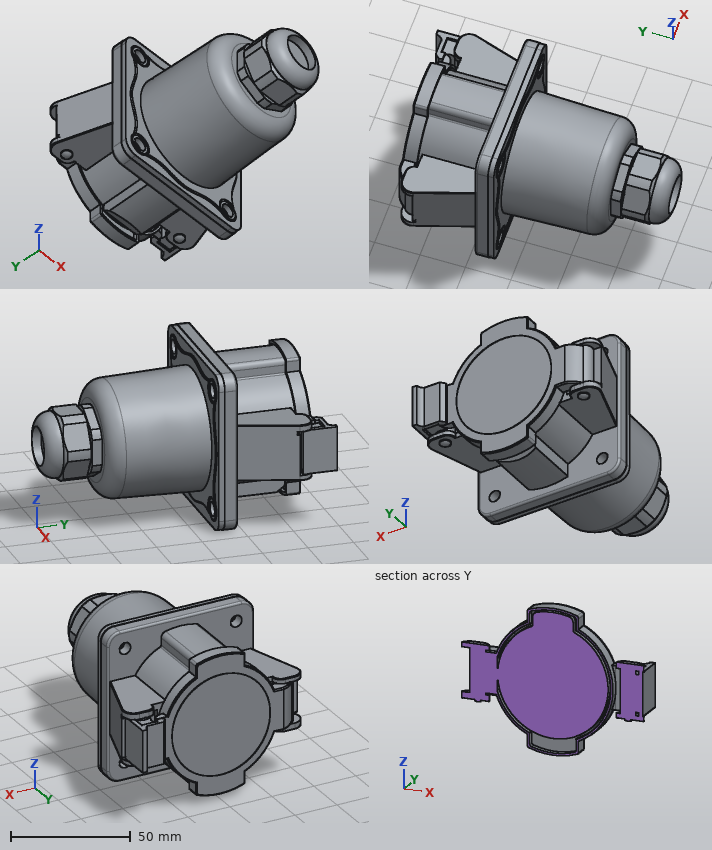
import cadquery as cq
import math


flange_size = 70.0
flange_corner = 6.0
flange_thickness = 5.75
flange_edge_round = 1.0
screw_offset = 26.5
socket_screw_dia = 5.3

boot_flange_inset = 0.2
boot_flange_thickness = 2.55
boot_screw_dia = 6.2
boot_flange_end = -flange_thickness - boot_flange_thickness

pad_height = 0.5
pad_bevel = 0.6
pad_bevel_depth = 0.45
wave_mean = 30.65
wave_amplitude = 1.5
wave_half_period = 16.1
wave_end = 22.6
wave_points = 17
boss_radius = 5.2
boss_top_radius = 4.5
boss_height = 0.25

boot_root_radius = 26.6
boot_tip_radius = 25.5
boot_round = 7.1
boot_end = -53.1
boot_flat_radius = 17.9

hex_flats = 29.0
hex_corner_dia = 31.2
body_hex_length = 4.3
neck_dia = 25.7
neck_length = 0.7
nut_end = -69.7
dome_radius = 14.2
gland_end = -76.5
gland_hole_dia = 16.69
gland_hole_depth = 4.0
nut_bevel_height = 1.3
nut_bevel_radius = 1.5

barrel_radius = 25.2
barrel_lobe_radius = 30.8
barrel_lobe_half_width = 9.3
barrel_lobe_round = 2.7
barrel_lobe_root = 0.8
key_lobe_radius = 31.0
key_lobe_half_width = 9.6
key_bevel_length = 5.4
key_bevel_height = 4.2

lid_bottom = 28.7
lid_top = 35.0
lid_radius = 27.4
lid_lobe_radius = 32.6
lid_lobe_half_width = 11.7
lid_lobe_round = 1.2
lid_edge_bevel = 0.5
lid_wall = 1.2
lid_recess_depth = 2.0
badge_radius = 23.4
badge_height = 0.2

bracket_height = 24.9
bracket_shift = 0.33
bracket_half_span = 41.995
bracket_root = 33.8
bracket_top = 31.5
bracket_slope = 17.7
ear_inner_round = 3.9
bracket_shoulder = 27.4
bracket_shoulder_x = 28.6
bracket_edge_bevel = 0.35
ear_slot_floor = 25.2
ear_notch_width = 1.4
ear_notch_depth = 1.1

pivot_x = 34.1
pivot_y = 26.7
pin_head_dia = 5.0
pin_head_height = 1.4
pin_head_rim = 0.5
knuckle_radius = 4.2
arm_width = 19.6
arm_slope_start = 30.0
arm_edge_bevel = 0.6
arm_slope_foot_angle = 120.0
arm_slope_bend = (-33.2, 33.5)
hook_tip = 30.7
hook_bend = (29.9, 33.0)
hook_underside = 31.6
hook_root = 27.0

latch_outer = 41.0
latch_plate = 2.2
overall_length = 118.21
latch_top = overall_length + gland_end
latch_bar_top = 38.7
latch_bar_bottom = 36.8
latch_bar_left = 29.4
latch_nose = 27.65
latch_nose_height = 36.8
latch_nose_foot = (27.75, 35.9)
latch_lip_left = 27.95
latch_tail = 37.1
latch_tail_bend = (38.2, 39.8)
latch_lip = 35.2
latch_web_left = 31.2
latch_web_waist = (31.8, 33.8)
latch_web_bottom = 31.0
latch_web_width = 17.0

screw_points = [(sx * screw_offset, sz * screw_offset) for sx in (-1, 1) for sz in (-1, 1)]


def section(y):
    """Sketch plane across the axis at y; positive extrusion runs toward -Y."""
    return cq.Workplane("XZ", origin=(0, y, 0))


def plan(z_center, height):
    """Sketch plane in X and Y, for shapes extruded by height about z_center."""
    return cq.Workplane("XY", origin=(0, 0, z_center - height / 2))


def square_flange(y_front, size, corner, thickness):
    return section(y_front).rect(size, size).extrude(thickness).edges("|Y").fillet(corner)


def lobe(y_front, length, radius, half_width, corner_round, direction):
    """Arc-topped block on the axis, upward (direction 1) or downward (-1); a zero round stays sharp."""
    height = math.sqrt(radius**2 - half_width**2)
    block = (
        section(y_front)
        .moveTo(-half_width, 0)
        .lineTo(-half_width, direction * height)
        .threePointArc((0, direction * radius), (half_width, direction * height))
        .lineTo(half_width, 0)
        .close()
        .extrude(length)
    )
    if corner_round == 0:
        return block
    base, tip = sorted((direction * height / 2, direction * radius))
    upper_corners = cq.selectors.BoxSelector(
        (-radius, y_front - length, base), (radius, y_front, tip))
    return block.faces("|X").edges("|Y").edges(upper_corners).fillet(corner_round)


def make_socket_flange():
    flange = square_flange(0, flange_size, flange_corner, flange_thickness)
    flange = flange.faces(">Y").edges().fillet(flange_edge_round)
    holes = section(0).pushPoints(screw_points).circle(socket_screw_dia / 2).extrude(flange_thickness)
    return flange.cut(holes)


def make_barrel():
    length = lid_top - lid_edge_bevel
    barrel = section(length).circle(barrel_radius).extrude(length)
    upper = lobe(length, length, barrel_lobe_radius, barrel_lobe_half_width, barrel_lobe_round, 1)
    barrel = barrel.union(upper)
    root_z = math.sqrt(barrel_radius**2 - barrel_lobe_half_width**2)
    for side in (-1, 1):
        root = (side * barrel_lobe_half_width, length / 2, root_z)
        barrel = barrel.edges(cq.selectors.NearestToPointSelector(root)).fillet(barrel_lobe_root)

    key = lobe(lid_bottom, lid_bottom, key_lobe_radius, key_lobe_half_width, 0, -1)
    key_bevel = (
        cq.Workplane("YZ")
        .moveTo(lid_bottom, -key_lobe_radius)
        .lineTo(lid_bottom - key_bevel_length, -key_lobe_radius)
        .lineTo(lid_bottom, key_bevel_height - key_lobe_radius)
        .close()
        .extrude(key_lobe_half_width, both=True)
    )
    return barrel.union(key.cut(key_bevel))


def lid_block(y_front, length, inset):
    """Round lid outline with an upper and a lower lobe, shrunk by inset."""
    block = section(y_front).circle(lid_radius - inset).extrude(length)
    for direction in (1, -1):
        block = block.union(lobe(y_front, length, lid_lobe_radius - inset,
                                 lid_lobe_half_width - inset, lid_lobe_round, direction))
    return block


def make_lid():
    lid = lid_block(lid_top, lid_top - lid_bottom, 0)
    lid = lid.faces(">Y").edges().chamfer(lid_edge_bevel)
    lid = lid.cut(lid_block(lid_bottom + lid_recess_depth, lid_recess_depth, lid_wall))
    badge = section(lid_top + badge_height).circle(badge_radius).extrude(2 * badge_height)
    return lid.union(badge)


def make_bracket(side):
    """Wedge-shaped hinge bracket; side is -1 for the left one and 1 for the right one."""
    z_center = side * bracket_shift
    slope = math.radians(bracket_slope)
    bracket = (
        plan(z_center, bracket_height)
        .moveTo(side * barrel_radius / 2, 0)
        .lineTo(side * bracket_root, 0)
        .lineTo(side * (bracket_root + bracket_top * math.tan(slope)), bracket_top)
        .lineTo(side * bracket_shoulder_x, bracket_top)
        .lineTo(side * bracket_shoulder_x, bracket_shoulder)
        .lineTo(side * barrel_radius / 2, bracket_shoulder)
        .close()
        .extrude(bracket_height)
    )
    outer = ">X" if side > 0 else "<X"
    reach = bracket_half_span - bracket_root
    outer_round = (bracket_top * math.sin(slope) - reach * math.cos(slope)) / (
        1 + math.sin(slope) - math.cos(slope))
    bracket = bracket.edges("|Z").edges(outer).fillet(outer_round)
    bracket = bracket.edges("|Z").edges(cq.selectors.NearestToPointSelector(
        (side * bracket_shoulder_x, bracket_top, z_center))).fillet(ear_inner_round)
    low_x, high_x = sorted((side * bracket_shoulder_x, side * flange_size))
    rim = bracket.faces("|Z").edges(cq.selectors.BoxSelector(
        (low_x, bracket_edge_bevel, -bracket_height), (high_x, lid_top, bracket_height)))
    bracket = rim.chamfer(bracket_edge_bevel)
    slot_end = lid_radius - lid_wall
    slot = cq.Workplane("XY").box(flange_size, lid_top, arm_width, centered=(True, False, True))
    slot = slot.translate((side * (slot_end + flange_size / 2), ear_slot_floor, 0))
    notch = cq.Workplane("XY").box(flange_size, lid_top, ear_notch_width, centered=(True, False, True))
    notch = notch.translate((
        side * (bracket_root + flange_size / 2),
        ear_slot_floor - ear_notch_depth,
        side * (arm_width - ear_notch_width) / 2))
    return bracket.cut(slot).cut(notch)


def make_pin_head(side):
    """Domed head of the hinge pin below its bracket."""
    z_face = side * bracket_shift - bracket_height / 2
    head_radius = pin_head_dia / 2
    cap_height = pin_head_height - pin_head_rim
    cap_radius = (head_radius**2 + cap_height**2) / (2 * cap_height)
    cap_middle = math.asin(head_radius / cap_radius) / 2
    return (
        cq.Workplane("XZ", origin=(side * pivot_x, pivot_y, z_face))
        .lineTo(head_radius, 0)
        .lineTo(head_radius, -pin_head_rim)
        .threePointArc(
            (cap_radius * math.sin(cap_middle),
             cap_radius * (1 - math.cos(cap_middle)) - pin_head_height),
            (0, -pin_head_height))
        .close()
        .revolve(360, (0, 0), (0, 1))
    )


def make_knuckle(side):
    return plan(0, arm_width).center(side * pivot_x, pivot_y).circle(knuckle_radius).extrude(arm_width)


def make_hinge_arm():
    slope_foot = math.radians(arm_slope_foot_angle)
    arm = (
        plan(0, arm_width)
        .moveTo(-barrel_radius, lid_top)
        .lineTo(-arm_slope_start, lid_top)
        .threePointArc(arm_slope_bend, (
            -pivot_x + knuckle_radius * math.cos(slope_foot),
            pivot_y + knuckle_radius * math.sin(slope_foot)))
        .lineTo(-pivot_x, lid_bottom)
        .lineTo(-barrel_radius, lid_bottom)
        .close()
        .extrude(arm_width)
    )
    arm = arm.union(make_knuckle(-1))
    rim = arm.faces("|Z").edges(cq.selectors.BoxSelector(
        (-flange_size, pivot_y, -arm_width), (-lid_radius, lid_top + arm_edge_bevel, arm_width)))
    return rim.chamfer(arm_edge_bevel)


def make_hook():
    """Lip on the lid that the latch nose catches."""
    return (
        plan(0, arm_width)
        .moveTo(barrel_radius, lid_top)
        .lineTo(hook_tip, lid_top)
        .threePointArc(hook_bend, (hook_root, hook_underside))
        .lineTo(barrel_radius, hook_underside)
        .close()
        .extrude(arm_width)
    )


def make_latch():
    inner = latch_outer - latch_plate
    shell = (
        plan(0, arm_width)
        .moveTo(latch_outer, pivot_y)
        .lineTo(latch_outer, latch_top)
        .lineTo(inner, latch_top)
        .threePointArc(latch_tail_bend, (latch_tail, latch_bar_top))
        .lineTo(latch_bar_left, latch_bar_top)
        .lineTo(latch_nose, latch_nose_height)
        .lineTo(*latch_nose_foot)
        .lineTo(latch_lip_left, latch_lip)
        .lineTo(latch_web_left, latch_lip)
        .lineTo(latch_web_left, latch_bar_bottom)
        .lineTo(inner, latch_bar_bottom)
        .lineTo(inner, pivot_y)
        .close()
        .extrude(arm_width)
    )
    web = (
        plan(0, latch_web_width)
        .moveTo(latch_web_left, latch_bar_bottom)
        .lineTo(latch_web_left, latch_lip)
        .threePointArc(latch_web_waist, (latch_web_left, latch_web_bottom))
        .lineTo(latch_web_left, pivot_y)
        .lineTo(inner, pivot_y)
        .lineTo(inner, latch_bar_bottom)
        .close()
        .extrude(latch_web_width)
    )
    return shell.union(web).union(make_knuckle(1))


def make_socket():
    socket = make_socket_flange().union(make_barrel())
    for side in (-1, 1):
        socket = socket.union(make_bracket(side)).union(make_pin_head(side))
    for fitting in (make_lid(), make_hinge_arm(), make_hook(), make_latch()):
        socket = socket.union(fitting)
    return socket


def wave_side(quarter_turns):
    """Points of one wavy pad side, the upper one turned clockwise by quarter turns."""
    angle = -quarter_turns * math.pi / 2
    points = []
    for i in range(wave_points):
        u = wave_end * (2 * i / (wave_points - 1) - 1)
        v = wave_mean + wave_amplitude * math.cos(math.pi * u / wave_half_period)
        points.append((u * math.cos(angle) - v * math.sin(angle),
                       u * math.sin(angle) + v * math.cos(angle)))
    return points


def make_pad():
    outline = section(boot_flange_end).moveTo(*wave_side(0)[0])
    for turn in range(4):
        side = wave_side(turn)
        outline = outline.lineTo(*side[0]) if turn else outline
        outline = outline.spline(side[1:], includeCurrent=True)
    pad = outline.close().extrude(pad_height)
    return pad.faces("<Y").edges().chamfer(pad_bevel_depth, pad_bevel)


def boss_cone(root_radius, tip_radius, y_root, height):
    cone = cq.Solid.makeCone(root_radius, tip_radius, height, cq.Vector(0, y_root, 0), cq.Vector(0, -1, 0))
    return [cone.moved(cq.Location(cq.Vector(x, 0, z))) for x, z in screw_points]


def make_boot():
    size = flange_size - 2 * boot_flange_inset
    boot = square_flange(-flange_thickness, size, flange_corner - boot_flange_inset, boot_flange_thickness)
    boot = boot.union(make_pad())
    recess_depth = pad_height - boss_height
    for recess in boss_cone(boss_top_radius, boss_radius, boot_flange_end - boss_height, recess_depth):
        boot = boot.cut(cq.Workplane(recess))
    for boss in boss_cone(boss_radius, boss_top_radius, boot_flange_end, boss_height):
        boot = boot.union(cq.Workplane(boss))
    holes = (
        section(-flange_thickness)
        .pushPoints(screw_points)
        .circle(boot_screw_dia / 2)
        .extrude(boot_flange_thickness + pad_height)
    )
    boot = boot.cut(holes)
    round_start = boot_end + boot_round
    diagonal = math.sqrt(0.5)
    cup = (
        cq.Workplane("XY")
        .moveTo(0, boot_flange_end)
        .lineTo(boot_root_radius, boot_flange_end)
        .lineTo(boot_tip_radius, round_start)
        .threePointArc(
            (boot_flat_radius + (boot_tip_radius - boot_flat_radius) * diagonal,
             round_start - boot_round * diagonal),
            (boot_flat_radius, boot_end))
        .lineTo(0, boot_end)
        .close()
        .revolve(360, (0, 0), (0, 1))
    )
    return boot.union(cup)


def trimmed_hex(y_front, length, turn):
    """Hexagon with flats across Z (turn 0), its corners turned round."""
    hexagon = section(y_front).transformed(rotate=(0, 0, turn))
    hexagon = hexagon.polygon(6, hex_flats / math.cos(math.pi / 6)).extrude(length)
    return hexagon.intersect(section(y_front).circle(hex_corner_dia / 2).extrude(length))


def make_gland():
    neck_start = boot_end - body_hex_length
    nut_start = neck_start - neck_length
    body_hex = trimmed_hex(boot_end, body_hex_length, 30)
    neck = section(neck_start).circle(neck_dia / 2).extrude(neck_length)
    nut = trimmed_hex(nut_start, nut_start - nut_end, 0)
    bevel = (
        cq.Workplane("XY")
        .moveTo(hex_corner_dia / 2, nut_end)
        .lineTo(hex_corner_dia / 2 - nut_bevel_radius, nut_end)
        .lineTo(hex_corner_dia / 2, nut_end + nut_bevel_height)
        .close()
        .revolve(360, (0, 0), (0, 1))
    )
    hole_radius = gland_hole_dia / 2
    diagonal = math.sqrt(0.5)
    dome_middle = (hole_radius + (dome_radius - hole_radius) * diagonal,
                   nut_end + (gland_end - nut_end) * diagonal)
    dome = (
        cq.Workplane("XY")
        .moveTo(0, nut_end)
        .lineTo(dome_radius, nut_end)
        .threePointArc(dome_middle, (hole_radius, gland_end))
        .lineTo(0, gland_end)
        .close()
        .revolve(360, (0, 0), (0, 1))
    )
    hole = section(gland_end + gland_hole_depth).circle(hole_radius).extrude(gland_hole_depth)
    return body_hex.union(neck).union(nut.cut(bevel)).union(dome).cut(hole)


socket = make_socket()
boot = make_boot()
gland = make_gland()
result = cq.Compound.makeCompound([socket.val(), boot.val(), gland.val()])